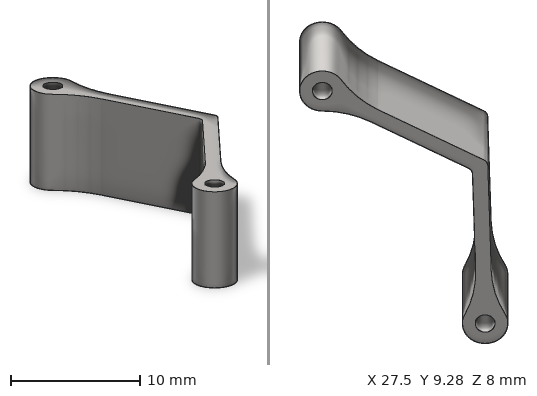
import cadquery as cq
import math

length = 27.5
height = 8.0
boss_radius = 1.75
hole_diameter = 1.5
arm_thickness = 1.2
arm_slope = math.radians(30)
blend_radius = 8.0
bend_radius = 0.58

boss_x = length / 2 - boss_radius
half_thickness = arm_thickness / 2
apex_y = boss_x * math.tan(arm_slope)
apex_offset = half_thickness / math.cos(arm_slope)

blend_v = half_thickness + blend_radius
blend_u = math.sqrt((boss_radius + blend_radius) ** 2 - blend_v ** 2)
contact_ratio = boss_radius / (boss_radius + blend_radius)
boss_contact = (blend_u * contact_ratio, blend_v * contact_ratio)
half_sweep = math.atan2(blend_u, blend_v) / 2
blend_middle = (
    blend_u - blend_radius * math.sin(half_sweep),
    blend_v - blend_radius * math.cos(half_sweep),
)


def bent_bar():
    """V-shaped bar running between the boss centers, with a rounded bend."""
    end_dx = half_thickness * math.sin(arm_slope)
    end_dy = half_thickness * math.cos(arm_slope)
    outline = [
        (-boss_x - end_dx, end_dy),
        (0, apex_y + apex_offset),
        (boss_x + end_dx, end_dy),
        (boss_x - end_dx, -end_dy),
        (0, apex_y - apex_offset),
        (-boss_x + end_dx, -end_dy),
    ]
    bar = cq.Workplane("XY").polyline(outline).close().extrude(height)
    bend_box = cq.selectors.BoxSelector(
        (-arm_thickness, apex_y - arm_thickness, 0),
        (arm_thickness, apex_y + arm_thickness, height),
    )
    return bar.edges("|Z").edges(bend_box).fillet(bend_radius)


def left_end():
    """Left boss and the flared part of the arm that blends into it."""
    boss = cq.Workplane("XY").circle(boss_radius).extrude(height)
    flare = (
        cq.Workplane("XY")
        .moveTo(*boss_contact)
        .threePointArc(blend_middle, (blend_u, half_thickness))
        .lineTo(blend_u, -half_thickness)
        .threePointArc((blend_middle[0], -blend_middle[1]), (boss_contact[0], -boss_contact[1]))
        .close()
        .extrude(height)
    )
    return (
        boss.union(flare)
        .rotate((0, 0, 0), (0, 0, 1), math.degrees(arm_slope))
        .translate((-boss_x, 0, 0))
    )


end = left_end()
body = bent_bar().union(end).union(end.mirror("YZ"))

holes = (
    cq.Workplane("XY")
    .pushPoints([(-boss_x, 0), (boss_x, 0)])
    .circle(hole_diameter / 2)
    .extrude(height)
)
result = body.cut(holes).clean()